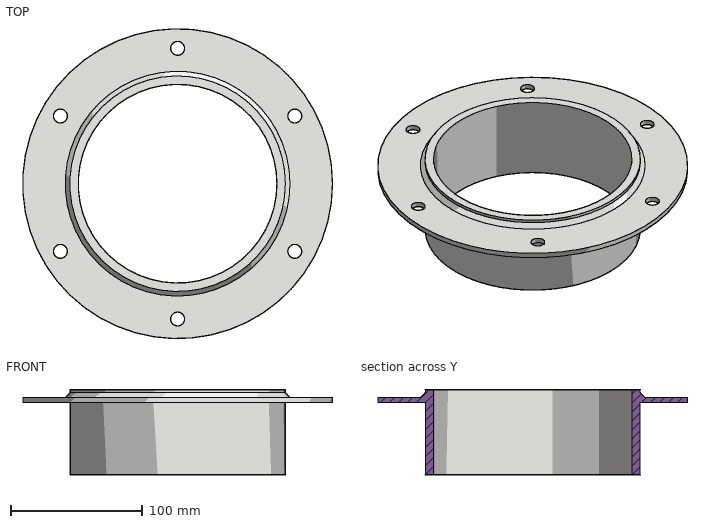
import cadquery as cq

flange_diameter = 236.0
flange_thickness = 4.0
tube_outer_diameter = 164.0
tube_bore_diameter = 151.0
tube_length = 65.0
tube_projection = 6.0
weld_leg = 3.5
bolt_hole_count = 6
bolt_hole_diameter = 10.5
bolt_circle_diameter = 206.0
first_hole_angle = 90.0

tube_top = tube_projection
tube_bottom = tube_top - tube_length
tube_radius = tube_outer_diameter / 2


def cylinder(diameter, bottom, height):
    return cq.Workplane("XY").workplane(offset=bottom).circle(diameter / 2).extrude(height)


def weld_bead():
    """Triangular bead in the corner between the flange and the tube."""
    return (
        cq.Workplane("XZ")
        .moveTo(tube_radius, 0)
        .lineTo(tube_radius + weld_leg, 0)
        .lineTo(tube_radius, weld_leg)
        .close()
        .revolve(360, (0, 0, 0), (0, 1, 0))
    )


def bolt_holes():
    return (
        cq.Workplane("XY")
        .workplane(offset=-flange_thickness)
        .polarArray(bolt_circle_diameter / 2, first_hole_angle, 360, bolt_hole_count)
        .circle(bolt_hole_diameter / 2)
        .extrude(flange_thickness)
    )


flange = cylinder(flange_diameter, -flange_thickness, flange_thickness)
tube = cylinder(tube_outer_diameter, tube_bottom, tube_length)
bore = cylinder(tube_bore_diameter, tube_bottom, tube_length)

result = flange.union(tube).union(weld_bead()).cut(bore).cut(bolt_holes())